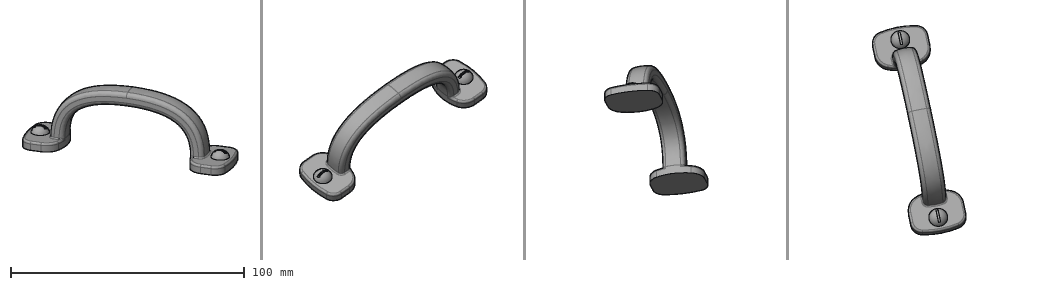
import cadquery as cq
import math

overall_length = 93.8
overall_height = 29.5

plate_length = 18.6
plate_width = 24.0
plate_thickness = 3.9
rim_radius = 0.9
outer_bow_radius = 36.9
inner_bow_radius = 20.3
outer_corner_radius = 5.2
inner_corner_radius = 6.9
outer_end = -overall_length / 2
inner_end = outer_end + plate_length

bar_thickness = 6.85
bar_width = 9.9
bar_corner_radius = 2.1
foot_fillet_radius = 0.6
foot_x = inner_end - bar_thickness / 2
crest_z = overall_height - bar_thickness / 2
foot_pull = 12.9
crest_pull = 24.7

screw_x = -40.9
head_radius = 4.0
head_height = 3.0
slot_width = 0.9
slot_depth = 1.1
head_sink = 0.9

edge_margin = 0.1


def bow_depth(radius, half_width):
    """Depth of an arc of the given radius across twice the half width."""
    return radius - math.sqrt(radius**2 - half_width**2)


def make_plate():
    """Left mounting plate with its corners and top rim rounded."""
    half_width = plate_width / 2
    outer_corner = outer_end + bow_depth(outer_bow_radius, half_width)
    inner_corner = inner_end - bow_depth(inner_bow_radius, half_width)
    return (
        cq.Workplane("XY")
        .moveTo(outer_corner, -half_width)
        .lineTo(inner_corner, -half_width)
        .threePointArc((inner_end, 0), (inner_corner, half_width))
        .lineTo(outer_corner, half_width)
        .threePointArc((outer_end, 0), (outer_corner, -half_width))
        .close()
        .extrude(plate_thickness)
        .edges("|Z")
        .edges("<X")
        .fillet(outer_corner_radius)
        .edges("|Z")
        .edges(">X")
        .fillet(inner_corner_radius)
        .faces(">Z")
        .edges()
        .fillet(rim_radius)
    )


def bar_section():
    """Bar section at the foot; its crown matches the bow of the plate's inner end."""
    half_width = bar_width / 2
    edge = bar_thickness / 2 - bow_depth(inner_bow_radius, half_width)
    return (
        cq.Sketch()
        .segment((foot_x - edge, -half_width), (foot_x + edge, -half_width))
        .arc((foot_x + edge, -half_width), (inner_end, 0.0), (foot_x + edge, half_width))
        .segment((foot_x + edge, half_width), (foot_x - edge, half_width))
        .arc((foot_x - edge, half_width), (foot_x - bar_thickness / 2, 0.0), (foot_x - edge, -half_width))
        .assemble()
        .vertices()
        .fillet(bar_corner_radius)
    )


def add_bar(plate):
    """Join half the bar to the plate and round the corner around its foot."""
    section = bar_section()
    centre_line = cq.Workplane("XZ").bezier(
        [
            (foot_x, plate_thickness),
            (foot_x, plate_thickness + foot_pull),
            (-crest_pull, crest_z),
            (0, crest_z),
        ]
    )
    root = cq.Workplane("XY").placeSketch(section).extrude(plate_thickness)
    arm = cq.Workplane("XY", origin=(0, 0, plate_thickness)).placeSketch(section).sweep(centre_line)

    foot_edges = cq.selectors.BoxSelector(
        (foot_x - bar_thickness / 2 - edge_margin, -bar_width / 2, plate_thickness - rim_radius / 2 + edge_margin),
        (inner_end, bar_width / 2, plate_thickness + edge_margin),
    )
    return plate.union(root).union(arm).edges(foot_edges).fillet(foot_fillet_radius)


def make_screw_head():
    """Spherical cap standing on the plate, slotted along X."""
    sphere_radius = (head_radius**2 + head_height**2) / (2 * head_height)
    head_top = plate_thickness + head_height
    dome = cq.Workplane("XY").sphere(sphere_radius).translate((screw_x, 0, head_top - sphere_radius))
    trim = cq.Workplane("XY", origin=(screw_x, 0, plate_thickness - head_sink)).box(
        2 * sphere_radius, 2 * sphere_radius, head_sink + head_height, centered=(True, True, False)
    )
    slot = cq.Workplane("XY", origin=(screw_x, 0, head_top - slot_depth)).box(
        2 * sphere_radius, slot_width, slot_depth, centered=(True, True, False)
    )
    return dome.intersect(trim).cut(slot)


left_half = add_bar(make_plate()).union(make_screw_head())
result = left_half.union(left_half.mirror("YZ"))